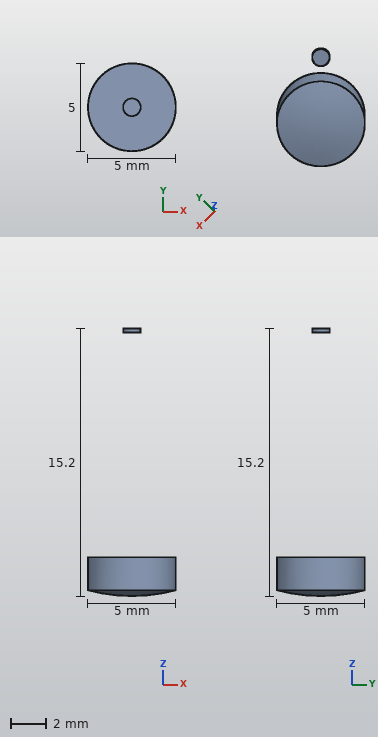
import cadquery as cq

total_height = 15.2

lens_diameter = 5.0
rim_width = 0.2
edge_height = 1.88
bottom_sag = 0.33

disc_diameter = 1.0
disc_thickness = 0.25

lens_radius = lens_diameter / 2
aperture_radius = lens_radius - rim_width
lens_top = bottom_sag + edge_height

sphere_radius = (lens_radius**2 + bottom_sag**2) / (2 * bottom_sag)
arc_middle_x = lens_radius / 2
arc_middle_z = sphere_radius - (sphere_radius**2 - arc_middle_x**2) ** 0.5


def make_lens():
    """Half section in the XZ plane, revolved around Z."""
    half_section = (
        cq.Workplane("XZ")
        .moveTo(0, 0)
        .threePointArc((arc_middle_x, arc_middle_z), (lens_radius, bottom_sag))
        .lineTo(lens_radius, lens_top)
        .lineTo(aperture_radius, lens_top)
        .lineTo(0, lens_top)
        .close()
    )
    return half_section.revolve(360, (0, 0, 0), (0, 1, 0), clean=False)


def make_disc():
    """Plain disc whose top face is the top of the whole part."""
    return (
        cq.Workplane("XY")
        .workplane(offset=total_height - disc_thickness)
        .circle(disc_diameter / 2)
        .extrude(disc_thickness)
    )


lens = make_lens()
disc = make_disc()

result = cq.Compound.makeCompound([lens.val(), disc.val()])